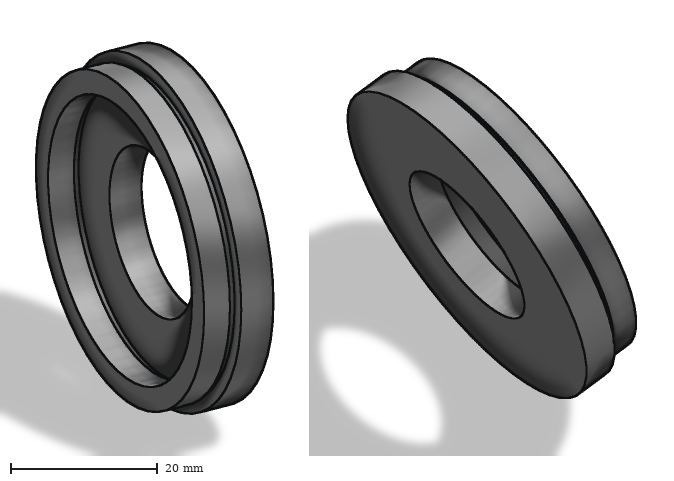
import cadquery as cq

flange_diameter = 50.8
flange_width = 5.0
spigot_diameter = 48.0
spigot_width = 4.0
groove_diameter = 47.0
groove_width = 1.0
bore_diameter = 24.4
recess_diameter = 41.0
recess_wall_depth = 4.0
undercut_diameter = 42.0
undercut_width = 1.0

total_width = flange_width + groove_width + spigot_width


def disc(diameter, start, width):
    """Solid disc on the Y axis, running from Y = start to Y = start + width."""
    plane = cq.Plane(origin=(0, start, 0), xDir=(1, 0, 0), normal=(0, 1, 0))
    return cq.Workplane(plane).circle(diameter / 2).extrude(width)


spigot = disc(spigot_diameter, 0, spigot_width)
groove = disc(groove_diameter, spigot_width, groove_width)
flange = disc(flange_diameter, spigot_width + groove_width, flange_width)
body = spigot.union(groove).union(flange)

recess = disc(recess_diameter, 0, recess_wall_depth)
undercut = disc(undercut_diameter, recess_wall_depth, undercut_width)
bore = disc(bore_diameter, 0, total_width)

result = body.cut(recess).cut(undercut).cut(bore)